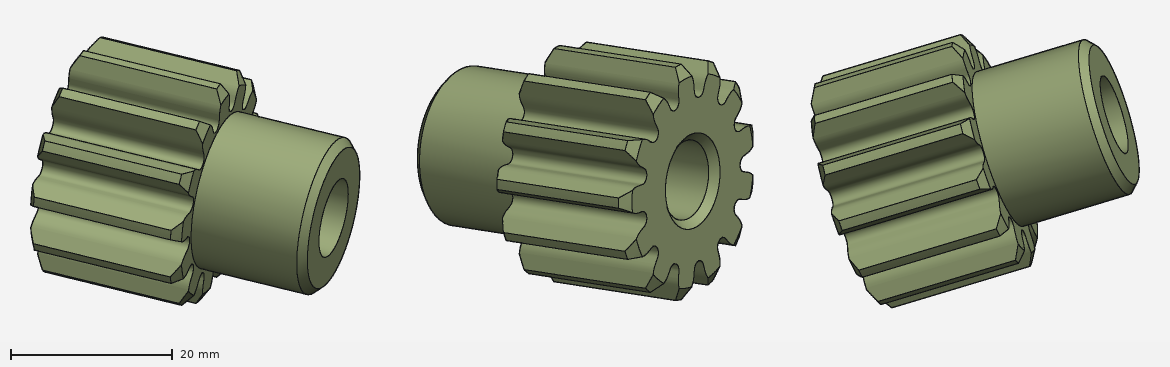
import cadquery as cq
import math


total_length = 35.0
face_width = 20.0
outer_diameter = 30.0
hub_diameter = 20.0
bore_diameter = 10.0
edge_chamfer = 1.0
tip_chamfer_depth = 1.6
tip_chamfer_angle = math.radians(30)

tooth_count = 13
root_diameter = 20.93
tip_width = 1.3
rim_clearance = 3.5
base_width = 3.43
flank_angle = math.radians(24.4)
flank_round = 2.8

outer_radius = outer_diameter / 2
hub_radius = hub_diameter / 2
bore_radius = bore_diameter / 2
root_radius = root_diameter / 2
half_pitch_angle = math.pi / tooth_count
tip_chamfer_length = tip_chamfer_depth * math.tan(tip_chamfer_angle)


def make_blank():
    """Turned body: toothed rim with conical ends, chamfered hub and through bore."""
    profile = [
        (0, bore_radius + edge_chamfer),
        (0, outer_radius - tip_chamfer_depth),
        (tip_chamfer_length, outer_radius),
        (face_width - tip_chamfer_length, outer_radius),
        (face_width, outer_radius - tip_chamfer_depth),
        (face_width, hub_radius),
        (total_length - edge_chamfer, hub_radius),
        (total_length, hub_radius - edge_chamfer),
        (total_length, bore_radius),
        (edge_chamfer, bore_radius),
    ]
    return cq.Workplane("XY").polyline(profile).close().revolve(360, (0, 0, 0), (1, 0, 0))


def mirrored(point):
    """Reflect a point across the gap centreline."""
    return (point[0], -point[1])


def from_tooth(along, half_width):
    """Turn a point on a tooth flank into gap coordinates, half a pitch away."""
    cosine = math.cos(half_pitch_angle)
    sine = math.sin(half_pitch_angle)
    return (along * cosine + half_width * sine, along * sine - half_width * cosine)


def make_tooth_gap():
    """Cutter for one tooth space, centred on the +Y axis."""
    tip_half = tip_width / 2
    base_half = base_width / 2

    tip_along = math.sqrt(outer_radius ** 2 - tip_half ** 2)
    knee_half = base_half - flank_round * (1 - math.cos(flank_angle))
    knee_along = tip_along - (knee_half - tip_half) / math.tan(flank_angle)
    tip = from_tooth(tip_along, tip_half)
    knee = from_tooth(knee_along, knee_half)

    foot_along = knee_along - flank_round * math.sin(flank_angle)
    round_middle = from_tooth(
        foot_along + flank_round * math.sin(flank_angle / 2),
        base_half - flank_round * (1 - math.cos(flank_angle / 2)),
    )
    foot = from_tooth(foot_along, base_half)

    bottom_center = (root_radius - base_half) / (1 - math.sin(half_pitch_angle))
    bottom_radius = bottom_center - root_radius
    bottom_end = from_tooth(bottom_center * math.cos(half_pitch_angle), base_half)
    bottom_middle = (bottom_center - bottom_radius, 0)

    clear_scale = 1 + rim_clearance / outer_radius
    clear_corner = (tip[0] * clear_scale, tip[1] * clear_scale)
    return (
        cq.Workplane("YZ")
        .moveTo(*mirrored(bottom_end))
        .threePointArc(bottom_middle, bottom_end)
        .lineTo(*foot)
        .threePointArc(round_middle, knee)
        .lineTo(*tip)
        .lineTo(*clear_corner)
        .lineTo(*mirrored(clear_corner))
        .lineTo(*mirrored(tip))
        .lineTo(*mirrored(knee))
        .threePointArc(mirrored(round_middle), mirrored(foot))
        .close()
        .extrude(face_width)
    )


result = make_blank()
tooth_gap = make_tooth_gap()
for index in range(tooth_count):
    gap_angle = math.degrees(half_pitch_angle * (2 * index + 1))
    result = result.cut(tooth_gap.rotate((0, 0, 0), (1, 0, 0), gap_angle))